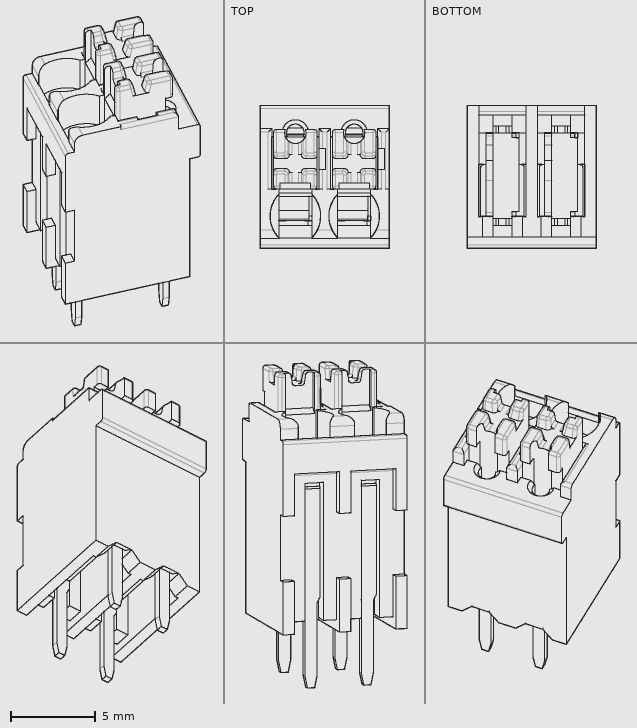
import cadquery as cq
POLE_PITCH = 3.5
POLE_CENTERS = (-POLE_PITCH / 2, POLE_PITCH / 2)

HOUSING_WIDTH = 7.7
FRONT_WALL_Y = 0.58
REAR_WALL_Y = 7.83
DEPTH = 8.5
TOP_BLOCK_REAR_Y = 7.12
TOP_Z = 12.85
SHOULDER_Z = 11.68
REAR_LUG_BOTTOM_Z = 9.15
FRONT_LIP_BOTTOM_Z = 7.16
FOOT_RAIL_TOP_Z = 3.2
TOP_FRONT_RADIUS = 0.52
TOP_REAR_RADIUS = 0.22
SHOULDER_RADIUS = 0.19

CAVITY_HALF_WIDTH = 1.4
CAVITY_FRONT_Y = 1.64
CAVITY_REAR_Y = 6.62
LOWER_CAVITY_TOP_Z = 7.44
BUTTON_FRONT_Y = 3.52
MOUTH_RADIUS = 0.22
FRONT_RECESS_TOP_Z = 9.69
FRONT_RECESS_RADIUS = 0.2
FRONT_WALL_BOTTOM_Z = 0.65

LATCH_OUTER_X = 1.8
LATCH_FRONT_Y = 4.69
LATCH_LENGTH = 1.25
LATCH_DEPTH = 0.37

FUNNEL_Y = 1.92
FUNNEL_RADIUS_X = 1.5
FUNNEL_RADIUS_Y = 1.71
FUNNEL_TAPER_Z = 10.56
FUNNEL_BOTTOM_Z = 9.3
SLOT_HALF_WIDTH = 0.99
SLOT_FRONT_Y = 0.61
SLOT_SLOPE_TOP_Z = 10.32
SLOT_THROAT_Y = 1.35

TEST_HOLE_Y = 6.86
TEST_HOLE_RADIUS = 0.52
TEST_HOLE_RIM_RADIUS = 0.78

LEG_THICKNESS = 0.4
FRONT_LEG_Y = 1.23
REAR_LEG_Y = 6.73
LEG_HALF_WIDTH = 0.567
PIN_HALF_WIDTH = 0.381
PIN_TIP_HALF_WIDTH = 0.22
LEG_TOP_Z = 8.63
FRONT_LEG_CHAMFER = 0.11
REAR_LEG_CHAMFER = 0.35
BRIDGE_FRONT_Y = 1.92
BRIDGE_REAR_Y = 6.32
BRIDGE_RIGHT_X = 0.99
LEG_SLOT_TOP_Z = 8.98
NECK_TOP_Z = 1.97
NECK_BOTTOM_Z = 1.62
TIP_START_Z = -2.77
TIP_Z = -3.52
BRIDGE_Z = 2.6
HEAD_LEFT_X = -0.99
HEAD_RIGHT_X = 0.76
HEAD_TOP_Z = 9.2
HEAD_SLOPE_HEIGHT = 0.46
NOTCH_BOTTOM_HALF_WIDTH = 1.19
REAR_GROOVE_CHAMFER_Z = 1.12

SPRING_LEFT_X = -0.99
SPRING_RIGHT_X = 0.82
SPRING_THICKNESS = 0.22
SPRING_REAR_Y = 6.5
SPRING_REAR_Z = 7.44
SPRING_ARCH_MIDDLE = (5.77, 8.97)
SPRING_ARCH_FRONT = (4.46, 9.49)
SPRING_LEAF_TOP = (3.24, 9.49)
SPRING_LEAF_FOOT = (2.3, 8.63)
SPRING_TIP = (1.79, 8.5)

BUTTON_HALF_WIDTH = 1.3
BUTTON_REAR_Y = 7.07
BUTTON_STEM_REAR_Y = 6.58
BUTTON_TOP_Z = 15.08
BUTTON_STEP_Z = 13.56
BUTTON_BOTTOM_Z = 10.05
BUTTON_RADIUS = 0.19
NOTCH_CORNER_RADIUS = 0.25
OUTER_CORNER_RADIUS = 0.2
NOTCH_FLOOR_Z = 14.3
CROSS_NOTCH_Y = 5.04
CROSS_NOTCH_FLOOR_HALF = 0.3
CROSS_NOTCH_TOP_HALF = 0.46
LONG_NOTCH_FLOOR_HALF = 0.35
LONG_NOTCH_TOP_HALF = 0.46
LONG_NOTCH_FLOOR_RADIUS = 0.19
FACE_HALF_WIDTH = 0.902
FACE_TOP_Y = 3.87
FACE_BOTTOM_Z = 12.93
FACE_CHAMFER_BOTTOM_Z = 12.63
TOE_TOP_Z = 10.45
TOE_CREST_Y = 3.3
TOE_FRONT_Y = 3.09
TEST_GROOVE_RADIUS = 0.63


def block(x0, x1, y0, y1, z0, z1):
    """Box between two opposite corners."""
    return cq.Workplane("XY").box(x1 - x0, y1 - y0, z1 - z0, centered=False).translate((x0, y0, z0))


def side_prism(points, x0, x1):
    """Closed (Y, Z) outline drawn along X from x0 to x1."""
    return cq.Workplane("YZ").polyline(points).close().extrude(x1 - x0).translate((x0, 0, 0))


def front_prism(points, y0, y1):
    """Closed (X, Z) outline drawn along Y from y0 to y1."""
    return cq.Workplane("XZ").polyline(points).close().extrude(-(y1 - y0)).translate((0, y0, 0))


def housing_envelope():
    outline = [
        (0, 0), (REAR_WALL_Y, 0), (REAR_WALL_Y, REAR_LUG_BOTTOM_Z), (DEPTH, REAR_LUG_BOTTOM_Z),
        (DEPTH, SHOULDER_Z), (TOP_BLOCK_REAR_Y, SHOULDER_Z), (TOP_BLOCK_REAR_Y, TOP_Z),
        (FRONT_WALL_Y, TOP_Z), (FRONT_WALL_Y, SHOULDER_Z), (0, SHOULDER_Z),
        (0, FRONT_LIP_BOTTOM_Z), (FRONT_WALL_Y, FRONT_LIP_BOTTOM_Z),
        (FRONT_WALL_Y, FOOT_RAIL_TOP_Z), (0, FOOT_RAIL_TOP_Z),
    ]
    body = side_prism(outline, -HOUSING_WIDTH / 2, HOUSING_WIDTH / 2)
    rounded_edges = [
        (FRONT_WALL_Y, TOP_Z, TOP_FRONT_RADIUS),
        (TOP_BLOCK_REAR_Y, TOP_Z, TOP_REAR_RADIUS),
        (0, SHOULDER_Z, SHOULDER_RADIUS),
        (DEPTH, SHOULDER_Z, SHOULDER_RADIUS),
        (DEPTH, REAR_LUG_BOTTOM_Z, SHOULDER_RADIUS),
    ]
    for y, z, radius in rounded_edges:
        body = body.edges(cq.NearestToPointSelector((0, y, z))).fillet(radius)
    return body


def front_recess():
    """Space between the front rails, rounded under its roof and open below the front wall."""
    half = CAVITY_HALF_WIDTH
    recess = block(-half, half, 0, FRONT_WALL_Y, 0, FRONT_RECESS_TOP_Z)
    recess = recess.edges(">Y and >Z").fillet(FRONT_RECESS_RADIUS)
    under_wall = block(-half, half, 0, CAVITY_FRONT_Y, 0, FRONT_WALL_BOTTOM_Z)
    return recess.union(under_wall)


def button_mouth():
    """Upper end of a button shaft, flaring out over rounded lips."""
    mouth_half = CAVITY_HALF_WIDTH + MOUTH_RADIUS
    mouth_bottom = TOP_Z - MOUTH_RADIUS
    rounded_lips = (
        cq.Workplane("XZ")
        .pushPoints([(-mouth_half, mouth_bottom), (mouth_half, mouth_bottom)])
        .circle(MOUTH_RADIUS)
        .extrude(-DEPTH)
    )
    flare = block(-mouth_half, mouth_half, BUTTON_FRONT_Y, DEPTH, mouth_bottom, TOP_Z)
    return flare.cut(rounded_lips)


def button_cavity():
    """Shaft for the button and spring, its flared mouth and the latch notch beside it."""
    half = CAVITY_HALF_WIDTH
    shaft = block(-half, half, BUTTON_FRONT_Y, CAVITY_REAR_Y, 0, TOP_Z)
    lower = block(-half, half, CAVITY_FRONT_Y, CAVITY_REAR_Y, 0, LOWER_CAVITY_TOP_Z)
    open_rear = block(-half, half, BUTTON_FRONT_Y, DEPTH, SHOULDER_Z, TOP_Z)
    latch_bottom = TOP_Z - LATCH_DEPTH
    latch_outline = [(0, TOP_Z), (LATCH_OUTER_X, TOP_Z), (half, latch_bottom), (0, latch_bottom)]
    latch = front_prism(latch_outline, LATCH_FRONT_Y, LATCH_FRONT_Y + LATCH_LENGTH)
    return shaft.union(lower).union(open_rear).union(button_mouth()).union(latch)


def wire_funnel():
    """Oval entry that tapers at its foot, crossed by a straight slot with a sloping front wall."""
    taper_ratio = SLOT_HALF_WIDTH / FUNNEL_RADIUS_X
    entry = cq.Workplane("XY").ellipse(FUNNEL_RADIUS_X, FUNNEL_RADIUS_Y).extrude(TOP_Z - FUNNEL_TAPER_Z)
    taper = (
        cq.Workplane("XY")
        .ellipse(FUNNEL_RADIUS_X, FUNNEL_RADIUS_Y)
        .workplane(offset=FUNNEL_BOTTOM_Z - FUNNEL_TAPER_Z)
        .ellipse(SLOT_HALF_WIDTH, FUNNEL_RADIUS_Y * taper_ratio)
        .loft(ruled=True)
    )
    oval = entry.union(taper).translate((0, FUNNEL_Y, FUNNEL_TAPER_Z))
    slot_outline = [
        (FRONT_WALL_Y, TOP_Z), (BUTTON_FRONT_Y, TOP_Z), (BUTTON_FRONT_Y, LOWER_CAVITY_TOP_Z),
        (SLOT_THROAT_Y, LOWER_CAVITY_TOP_Z), (SLOT_THROAT_Y, FUNNEL_BOTTOM_Z),
        (SLOT_FRONT_Y, SLOT_SLOPE_TOP_Z), (SLOT_FRONT_Y, SHOULDER_Z), (FRONT_WALL_Y, SHOULDER_Z),
    ]
    slot = side_prism(slot_outline, -SLOT_HALF_WIDTH, SLOT_HALF_WIDTH)
    behind_front_wall = side_prism(slot_outline, -FUNNEL_RADIUS_X, FUNNEL_RADIUS_X)
    return oval.intersect(behind_front_wall).union(slot)


def leg_slots():
    """Slots for both terminal legs and the flared notch under the rear wall."""
    front = block(-LEG_HALF_WIDTH, LEG_HALF_WIDTH, FRONT_WALL_Y, CAVITY_FRONT_Y, 0, LEG_SLOT_TOP_Z)
    groove_back_y = REAR_LEG_Y + LEG_THICKNESS
    groove_outline = [
        (CAVITY_REAR_Y, 0), (REAR_WALL_Y, 0), (REAR_WALL_Y, FRONT_WALL_BOTTOM_Z),
        (groove_back_y, REAR_GROOVE_CHAMFER_Z), (groove_back_y, LEG_TOP_Z), (CAVITY_REAR_Y, LEG_TOP_Z),
    ]
    rear = side_prism(groove_outline, -LEG_HALF_WIDTH, LEG_HALF_WIDTH)
    notch_outline = [
        (-NOTCH_BOTTOM_HALF_WIDTH, 0), (NOTCH_BOTTOM_HALF_WIDTH, 0),
        (LEG_HALF_WIDTH, FRONT_WALL_BOTTOM_Z), (-LEG_HALF_WIDTH, FRONT_WALL_BOTTOM_Z),
    ]
    notch = front_prism(notch_outline, CAVITY_REAR_Y, REAR_WALL_Y)
    return front.union(rear).union(notch)


def test_hole():
    rim_depth = TEST_HOLE_RIM_RADIUS - TEST_HOLE_RADIUS
    outline = [
        (0, SHOULDER_Z), (TEST_HOLE_RIM_RADIUS, SHOULDER_Z), (TEST_HOLE_RADIUS, SHOULDER_Z - rim_depth),
        (TEST_HOLE_RADIUS, LEG_TOP_Z), (0, LEG_TOP_Z),
    ]
    hole = cq.Workplane("XZ").polyline(outline).close().revolve(360, (0, 0, 0), (0, 1, 0))
    return hole.translate((0, TEST_HOLE_Y, 0))


def make_housing():
    body = housing_envelope()
    for x in POLE_CENTERS:
        for cutter in (front_recess(), button_cavity(), wire_funnel(), leg_slots(), test_hole()):
            body = body.cut(cutter.translate((x, 0, 0)))
    return body.cut(button_mouth().translate((POLE_CENTERS[-1] + POLE_PITCH, 0, 0)))


def terminal_leg(front_y):
    """Flat leg that necks down to a tapered solder pin."""
    right_side = [
        (LEG_HALF_WIDTH, LEG_TOP_Z), (LEG_HALF_WIDTH, NECK_TOP_Z), (PIN_HALF_WIDTH, NECK_BOTTOM_Z),
        (PIN_HALF_WIDTH, TIP_START_Z), (PIN_TIP_HALF_WIDTH, TIP_Z),
    ]
    left_side = [(-x, z) for x, z in reversed(right_side)]
    return front_prism(right_side + left_side, front_y, front_y + LEG_THICKNESS)


def make_terminal():
    front_leg = terminal_leg(FRONT_LEG_Y).faces("<Y").edges(">Z").chamfer(FRONT_LEG_CHAMFER)
    rear_leg = terminal_leg(REAR_LEG_Y).faces(">Y").edges(">Z").chamfer(REAR_LEG_CHAMFER)
    back_y = FRONT_LEG_Y + LEG_THICKNESS
    bridge_top_z = BRIDGE_Z + LEG_THICKNESS
    bridge = block(-LEG_HALF_WIDTH, LEG_HALF_WIDTH, FRONT_LEG_Y, REAR_LEG_Y, BRIDGE_Z, bridge_top_z)
    bridge_wing = block(0, BRIDGE_RIGHT_X, BRIDGE_FRONT_Y, BRIDGE_REAR_Y, BRIDGE_Z, bridge_top_z)
    head_outline = [
        (SLOT_THROAT_Y, LOWER_CAVITY_TOP_Z), (back_y, LOWER_CAVITY_TOP_Z),
        (back_y, HEAD_TOP_Z - HEAD_SLOPE_HEIGHT), (SLOT_THROAT_Y, HEAD_TOP_Z),
    ]
    head = side_prism(head_outline, HEAD_LEFT_X, HEAD_RIGHT_X)
    return front_leg.union(rear_leg).union(bridge).union(bridge_wing).union(head)


def make_spring():
    """Bent strip: rear ramp, arch under the button, steep front leaf and a clamping foot."""
    center_line = (
        cq.Workplane("YZ")
        .moveTo(SPRING_REAR_Y, SPRING_REAR_Z)
        .threePointArc(SPRING_ARCH_MIDDLE, SPRING_ARCH_FRONT)
        .lineTo(*SPRING_LEAF_TOP)
        .lineTo(*SPRING_LEAF_FOOT)
        .lineTo(*SPRING_TIP)
    )
    strip = center_line.offset2D(SPRING_THICKNESS / 2).extrude(SPRING_RIGHT_X - SPRING_LEFT_X)
    return strip.translate((SPRING_LEFT_X, 0, 0))


def button_blank():
    """Button head with rounded corners above a narrower stem."""
    head = block(-BUTTON_HALF_WIDTH, BUTTON_HALF_WIDTH, BUTTON_FRONT_Y, BUTTON_REAR_Y,
                 BUTTON_BOTTOM_Z, BUTTON_TOP_Z)
    head = head.edges("|Z").fillet(BUTTON_RADIUS)
    under_step = block(-BUTTON_HALF_WIDTH, BUTTON_HALF_WIDTH, BUTTON_STEM_REAR_Y, BUTTON_REAR_Y,
                       BUTTON_BOTTOM_Z, BUTTON_STEP_Z)
    return head.cut(under_step)


def cross_notch():
    """Notch across the button, from side to side."""
    y = CROSS_NOTCH_Y
    outline = [
        (y - CROSS_NOTCH_FLOOR_HALF, NOTCH_FLOOR_Z), (y + CROSS_NOTCH_FLOOR_HALF, NOTCH_FLOOR_Z),
        (y + CROSS_NOTCH_TOP_HALF, BUTTON_TOP_Z), (y - CROSS_NOTCH_TOP_HALF, BUTTON_TOP_Z),
    ]
    return side_prism(outline, -BUTTON_HALF_WIDTH, BUTTON_HALF_WIDTH)


def long_notch():
    """Notch from front to rear."""
    outline = [
        (-LONG_NOTCH_FLOOR_HALF, NOTCH_FLOOR_Z), (LONG_NOTCH_FLOOR_HALF, NOTCH_FLOOR_Z),
        (LONG_NOTCH_TOP_HALF, BUTTON_TOP_Z), (-LONG_NOTCH_TOP_HALF, BUTTON_TOP_Z),
    ]
    return front_prism(outline, BUTTON_FRONT_Y, BUTTON_REAR_Y)


def long_notch_corners():
    """Concave foot of the long notch walls, interrupted where the cross notch passes."""
    rounded_notch = long_notch().edges("|Y and <Z").fillet(LONG_NOTCH_FLOOR_RADIUS)
    gap_half = CROSS_NOTCH_FLOOR_HALF + NOTCH_CORNER_RADIUS
    gap = block(-BUTTON_HALF_WIDTH, BUTTON_HALF_WIDTH, CROSS_NOTCH_Y - gap_half, CROSS_NOTCH_Y + gap_half,
                NOTCH_FLOOR_Z, BUTTON_TOP_Z)
    return long_notch().cut(rounded_notch).cut(gap)


def round_posts(body):
    """Round the inner and outer notch corners of the four posts, then the rim of each post top."""
    middle_x = (LONG_NOTCH_FLOOR_HALF + LONG_NOTCH_TOP_HALF) / 2
    middle_y = (CROSS_NOTCH_FLOOR_HALF + CROSS_NOTCH_TOP_HALF) / 2
    middle_z = (NOTCH_FLOOR_Z + BUTTON_TOP_Z) / 2
    for side_x in (-1, 1):
        for side_y in (-1, 1):
            corner_y = CROSS_NOTCH_Y + side_y * middle_y
            inner = cq.NearestToPointSelector((side_x * middle_x, corner_y, middle_z))
            body = body.edges(inner).fillet(NOTCH_CORNER_RADIUS)
            outer = cq.NearestToPointSelector((side_x * BUTTON_HALF_WIDTH, corner_y, middle_z))
            body = body.edges(outer).fillet(OUTER_CORNER_RADIUS)
    return body.faces(">Z").edges().fillet(BUTTON_RADIUS)


def front_face_recess():
    """Recess in the front of the head, ending in a chamfer."""
    outline = [
        (0, BUTTON_TOP_Z), (FACE_TOP_Y, BUTTON_TOP_Z), (FACE_TOP_Y, FACE_BOTTOM_Z),
        (BUTTON_FRONT_Y, FACE_CHAMFER_BOTTOM_Z), (0, FACE_CHAMFER_BOTTOM_Z),
    ]
    return side_prism(outline, -FACE_HALF_WIDTH, FACE_HALF_WIDTH)


def toe():
    """Low crest in front of the button, inside the wire slot."""
    outline = [
        (BUTTON_FRONT_Y, BUTTON_BOTTOM_Z), (BUTTON_FRONT_Y, TOE_TOP_Z - (BUTTON_FRONT_Y - TOE_CREST_Y)),
        (TOE_CREST_Y, TOE_TOP_Z), (TOE_FRONT_Y, BUTTON_BOTTOM_Z),
    ]
    return side_prism(outline, -SLOT_HALF_WIDTH, SLOT_HALF_WIDTH)


def make_button():
    body = round_posts(button_blank().cut(cross_notch()).cut(long_notch()))
    body = body.union(long_notch_corners()).cut(front_face_recess()).union(toe())
    groove = (
        cq.Workplane("XY")
        .circle(TEST_GROOVE_RADIUS)
        .extrude(BUTTON_TOP_Z)
        .translate((0, TEST_HOLE_Y, 0))
    )
    return body.cut(groove)


housing = make_housing()
terminals = [make_terminal().translate((x, 0, 0)) for x in POLE_CENTERS]
springs = [make_spring().translate((x, 0, 0)) for x in POLE_CENTERS]
buttons = [make_button().translate((x, 0, 0)) for x in POLE_CENTERS]

moving_and_metal = [body.val() for body in terminals + springs + buttons]
result = cq.Compound.makeCompound([housing.val(), *moving_and_metal])